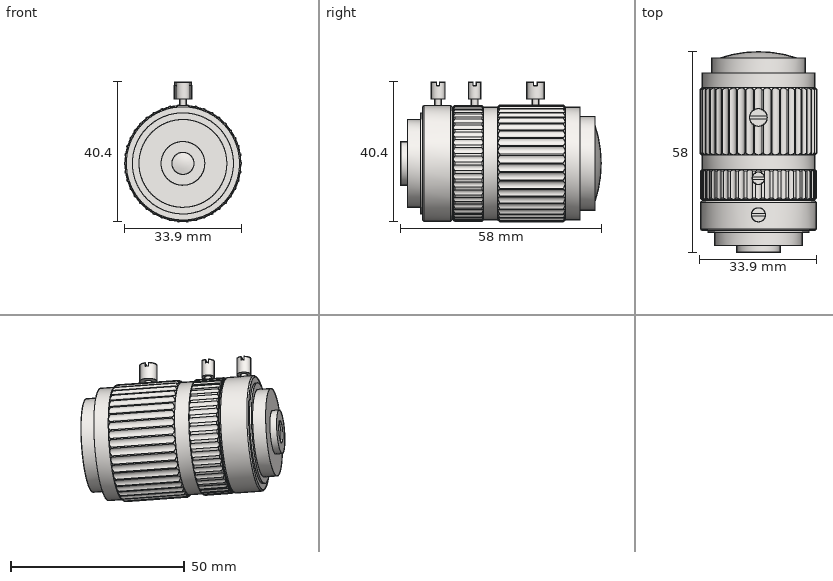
import cadquery as cq
import math


REAR_BOSS_END = 2.0
MOUNT_END = 5.8
FLANGE_END = 6.3
IRIS_RING_END = 14.95
ZOOM_RING_START = 15.25
ZOOM_RING_END = 23.9
FOCUS_RING_START = 28.1
FOCUS_RING_END = 47.6
BODY_END = 51.85
FRONT_RIM_END = 56.2
LENS_TIP = 58.0

REAR_BOSS_R = 6.3
MOUNT_R = 12.7
FLANGE_R = 14.6
IRIS_RING_R = 16.75
NECK_R = 15.2
BODY_R = 16.3
FRONT_RIM_R = 13.6
FRONT_LENS_R = 11.0
ZOOM_RING_R = 16.75
FOCUS_RING_R = 16.95

IRIS_REAR_CHAMFER = 0.4
IRIS_FRONT_CHAMFER = 0.5

REAR_LENS_R = 3.2
REAR_RECESS_DEPTH = 0.6
REAR_LENS_HEIGHT = 0.5

GROOVE_COUNT = 42
FOCUS_RIB_WIDTH = 0.35
FOCUS_GROOVE_DEPTH = 0.5
FOCUS_CHAMFER = 0.65
ZOOM_RIB_WIDTH = 0.85
ZOOM_GROOVE_DEPTH = 0.35
ZOOM_CHAMFER = 0.4

SCREW_TOP = 23.5
SCREW_HEAD_HEIGHT = 4.95
SCREW_SHANK_R = 1.0
SCREW_SLOT_DEPTH = 1.05
SCREW_ROOT = 13.9
FOCUS_SCREW_Y = 39.0
FOCUS_SCREW_R = 2.55
FOCUS_SLOT_WIDTH = 1.0
ZOOM_SCREW_Y = 21.4
ZOOM_SCREW_R = 1.8
IRIS_SCREW_Y = 10.85
IRIS_SCREW_R = 2.05
SMALL_SLOT_WIDTH = 0.8


def cylinder(radius, start, end):
    """Round bar on the Y axis from one station to another."""
    return cq.Workplane("XZ", origin=(0, start, 0)).circle(radius).extrude(start - end)


def dome_arc_middle(rim_radius, rim_y, tip_y):
    """Point halfway along the spherical arc from the tip of a dome to its rim."""
    height = tip_y - rim_y
    sphere_radius = (rim_radius**2 + height**2) / (2 * abs(height))
    half_angle = math.asin(rim_radius / sphere_radius) / 2
    drop = math.copysign(sphere_radius * (1 - math.cos(half_angle)), height)
    return (sphere_radius * math.sin(half_angle), tip_y - drop)


def barrel():
    """Stepped barrel with the front and rear lens domes, turned about Y."""
    recess_tip = REAR_RECESS_DEPTH - REAR_LENS_HEIGHT
    return (
        cq.Workplane("XY")
        .moveTo(0, recess_tip)
        .threePointArc(
            dome_arc_middle(REAR_LENS_R, REAR_RECESS_DEPTH, recess_tip),
            (REAR_LENS_R, REAR_RECESS_DEPTH),
        )
        .lineTo(REAR_LENS_R, 0)
        .lineTo(REAR_BOSS_R, 0)
        .lineTo(REAR_BOSS_R, REAR_BOSS_END)
        .lineTo(MOUNT_R, REAR_BOSS_END)
        .lineTo(MOUNT_R, MOUNT_END)
        .lineTo(FLANGE_R, MOUNT_END)
        .lineTo(FLANGE_R, FLANGE_END)
        .lineTo(IRIS_RING_R - IRIS_REAR_CHAMFER, FLANGE_END)
        .lineTo(IRIS_RING_R, FLANGE_END + IRIS_REAR_CHAMFER)
        .lineTo(IRIS_RING_R, IRIS_RING_END - IRIS_FRONT_CHAMFER)
        .lineTo(IRIS_RING_R - IRIS_FRONT_CHAMFER, IRIS_RING_END)
        .lineTo(NECK_R, IRIS_RING_END)
        .lineTo(NECK_R, ZOOM_RING_START)
        .lineTo(BODY_R, ZOOM_RING_START)
        .lineTo(BODY_R, BODY_END)
        .lineTo(FRONT_RIM_R, BODY_END)
        .lineTo(FRONT_RIM_R, FRONT_RIM_END)
        .lineTo(FRONT_LENS_R, FRONT_RIM_END)
        .threePointArc(dome_arc_middle(FRONT_LENS_R, FRONT_RIM_END, LENS_TIP), (0, LENS_TIP))
        .close()
        .revolve(360, (0, 0, 0), (0, 1, 0))
    )


def knurled_ring(radius, start, end, chamfer, rib_width, groove_depth):
    """Chamfered grip ring with rounded grooves between narrow ribs."""
    pitch = 360 / GROOVE_COUNT
    half_groove = math.radians(pitch) / 2 - math.asin(rib_width / 2 / radius)
    half_chord = radius * math.sin(half_groove)
    sagitta = radius * math.cos(half_groove) - (radius - groove_depth)
    cutter_r = (half_chord**2 + sagitta**2) / (2 * sagitta)
    cutter_offset = radius - groove_depth + cutter_r

    cutters = (
        cq.Workplane("XZ", origin=(0, start, 0))
        .polarArray(cutter_offset, pitch / 2, 360, GROOVE_COUNT)
        .circle(cutter_r)
        .extrude(start - end)
    )
    return cylinder(radius, start, end).edges().chamfer(chamfer).cut(cutters)


def thumb_screw(y, head_r, slot_width):
    """Slotted round head on a thin shank, with the slot running along X."""
    head_bottom = SCREW_TOP - SCREW_HEAD_HEIGHT
    head_bottom_plane = cq.Workplane("XY", origin=(0, y, head_bottom))
    shank = head_bottom_plane.circle(SCREW_SHANK_R).extrude(SCREW_ROOT - head_bottom)
    head = head_bottom_plane.circle(head_r).extrude(SCREW_HEAD_HEIGHT)
    top_plane = cq.Workplane("XY", origin=(0, y, SCREW_TOP))
    slot = top_plane.rect(2 * head_r, slot_width).extrude(-SCREW_SLOT_DEPTH)
    return shank.union(head).cut(slot)


focus_ring = knurled_ring(
    FOCUS_RING_R, FOCUS_RING_START, FOCUS_RING_END, FOCUS_CHAMFER, FOCUS_RIB_WIDTH, FOCUS_GROOVE_DEPTH
)
zoom_ring = knurled_ring(
    ZOOM_RING_R, ZOOM_RING_START, ZOOM_RING_END, ZOOM_CHAMFER, ZOOM_RIB_WIDTH, ZOOM_GROOVE_DEPTH
)

result = (
    barrel()
    .union(focus_ring)
    .union(zoom_ring)
    .union(thumb_screw(FOCUS_SCREW_Y, FOCUS_SCREW_R, FOCUS_SLOT_WIDTH))
    .union(thumb_screw(ZOOM_SCREW_Y, ZOOM_SCREW_R, SMALL_SLOT_WIDTH))
    .union(thumb_screw(IRIS_SCREW_Y, IRIS_SCREW_R, SMALL_SLOT_WIDTH))
)